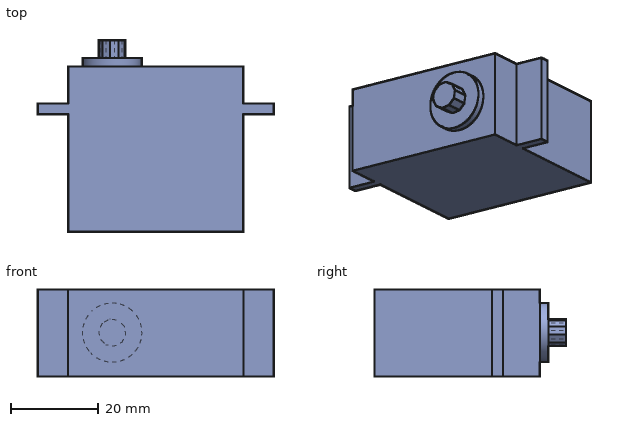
import cadquery as cq

BODY_LENGTH = 40.2
BODY_DEPTH = 38.0
THICKNESS = 20.0

EAR_REACH = 7.0
EAR_WIDTH = 2.5
EAR_SETBACK = 8.5

SHAFT_OFFSET = -10.0
SHAFT_Z = 0.1
COLLAR_DIAMETER = 13.6
COLLAR_HEIGHT = 1.94
STUB_SIDES = 10
STUB_DIAMETER = 6.3
STUB_HEIGHT = 4.1
STUB_CORNER_ANGLE = -45.0

SHAFT_FACE_Y = BODY_DEPTH / 2
COLLAR_FACE_Y = SHAFT_FACE_Y + COLLAR_HEIGHT


def make_body():
    return cq.Workplane("XY").box(BODY_LENGTH, BODY_DEPTH, THICKNESS)


def make_ears():
    """One bar through the body; its two ends stand out as the ears."""
    span = BODY_LENGTH + 2 * EAR_REACH
    middle_y = SHAFT_FACE_Y - EAR_SETBACK - EAR_WIDTH / 2
    return cq.Workplane("XY").box(span, EAR_WIDTH, THICKNESS).translate((0, middle_y, 0))


def shaft_plane(y):
    """Plane facing +Y, centred on the shaft axis, at the given y; its local x is +Z and its local y is +X."""
    return cq.Workplane(cq.Plane(origin=(SHAFT_OFFSET, y, SHAFT_Z), xDir=(0, 0, 1), normal=(0, 1, 0)))


def make_collar():
    return shaft_plane(SHAFT_FACE_Y).circle(COLLAR_DIAMETER / 2).extrude(COLLAR_HEIGHT)


def make_stub():
    return (
        shaft_plane(COLLAR_FACE_Y)
        .transformed(rotate=(0, 0, STUB_CORNER_ANGLE))
        .polygon(STUB_SIDES, STUB_DIAMETER)
        .extrude(STUB_HEIGHT)
    )


result = make_body().union(make_ears()).union(make_collar()).union(make_stub())